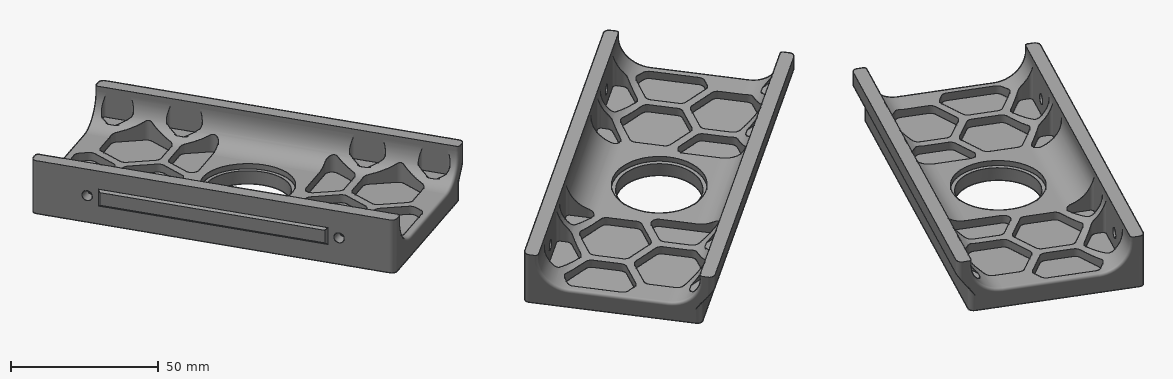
import cadquery as cq
import math

length = 132.0
width = 66.0
height = 20.0
wall = 5.0
floor_top = 7.0
channel_radius = 11.0
mouth_radius = 1.0
corner_radius = 2.0

relief_depth = 4.2
relief_straight_top = 8.8
relief_slope_top = 14.7

hole_diameter = 29.6
rim_diameter = 32.5
rim_depth = 2.0

hex_flats = 22.0
hex_gap = 2.9
hex_depth = 3.0
hex_corner_radius = 2.5
wall_corner_radius = 1.2
hex_rows = 4
hex_columns = 2
hex_first_x = 20.7
hex_first_y = -29.7
field_inner_x = 19.4
field_outer_x = 63.1

rail_length = 83.2
rail_height = 6.3
rail_thickness = 0.8
rail_taper = 45
side_hole_diameter = 3.7
side_hole_x = 45.7
side_hole_depth = 6.6

half_length = length / 2
half_width = width / 2
channel_half = half_width - wall
mid_height = height / 2
hex_pitch = hex_flats + hex_gap
hex_row_pitch = hex_pitch * math.sqrt(3) / 2
hex_floor = floor_top - hex_depth
back_row_floor = relief_straight_top
tolerance = 0.001


def make_body():
    relief_y = half_width - relief_depth
    body = (
        cq.Workplane("YZ")
        .moveTo(-half_width, 0)
        .lineTo(relief_y, 0)
        .lineTo(relief_y, relief_straight_top)
        .lineTo(half_width, relief_slope_top)
        .lineTo(half_width, height)
        .lineTo(-half_width, height)
        .close()
        .extrude(half_length, both=True)
    )
    return body.edges("|Z").fillet(corner_radius)


def make_channel():
    bend = channel_radius * (1 - math.sqrt(0.5))
    bend_top = floor_top + channel_radius
    flat_half = channel_half - channel_radius
    return (
        cq.Workplane("YZ")
        .moveTo(-channel_half, height)
        .lineTo(-channel_half, bend_top)
        .threePointArc((-channel_half + bend, floor_top + bend), (-flat_half, floor_top))
        .lineTo(flat_half, floor_top)
        .threePointArc((channel_half - bend, floor_top + bend), (channel_half, bend_top))
        .lineTo(channel_half, height)
        .close()
        .extrude(half_length, both=True)
    )


def is_channel_mouth(edge):
    """True for the edges where the channel surface meets either end face."""
    spot = edge.Center()
    on_end = abs(abs(spot.x) - half_length) < tolerance
    in_channel = abs(spot.y) < channel_half + tolerance and spot.z > hex_floor
    return on_end and in_channel


def make_tray():
    tray = make_body().cut(make_channel())
    return tray.edges().filter(is_channel_mouth).fillet(mouth_radius)


def hex_outline(x, y):
    """Sharp pocket outline: a hexagon, or a hexagon cut short at the inner field limit."""
    hex_side = hex_flats / math.sqrt(3)
    if x - hex_flats / 2 > field_inner_x:
        return cq.Workplane("XY").center(x, y).transformed(rotate=(0, 0, 30)).polygon(6, 2 * hex_side)
    right = x + hex_flats / 2
    inner_half = hex_side / 2 + (right - field_inner_x) * math.tan(math.radians(30))
    return cq.Workplane("XY").polyline([
        (field_inner_x, y - inner_half),
        (right, y - hex_side / 2),
        (right, y + hex_side / 2),
        (field_inner_x, y + inner_half),
    ]).close()


def is_on_wall(edge):
    """True for a vertical edge in the plane of a channel side wall."""
    return abs(abs(edge.Center().y) - channel_half) < tolerance


def hex_pocket(x, y, pocket_floor):
    """Pocket kept between the channel walls and the outer field limit, with rounded corners."""
    depth = floor_top + channel_radius - pocket_floor
    field = cq.Workplane("XY").rect(2 * field_outer_x, 2 * channel_half).extrude(depth)
    pocket = hex_outline(x, y).extrude(depth).intersect(field)
    pocket = pocket.edges("|Z").filter(lambda edge: not is_on_wall(edge)).fillet(hex_corner_radius)
    wall_corners = pocket.edges("|Z").filter(is_on_wall)
    if wall_corners.size():
        pocket = wall_corners.fillet(wall_corner_radius)
    return pocket.translate((0, 0, pocket_floor))


def make_pockets():
    """Four staggered rows of pockets on the +X half, copied to the -X half."""
    pockets = cq.Workplane("XY")
    for row in range(hex_rows):
        y = hex_first_y + row * hex_row_pitch
        stagger = (row % 2) * hex_pitch / 2
        pocket_floor = back_row_floor if row == hex_rows - 1 else hex_floor
        for column in range(hex_columns):
            x = hex_first_x + stagger + column * hex_pitch
            pocket = hex_pocket(x, y, pocket_floor)
            pockets = pockets.union(pocket).union(pocket.mirror("YZ"))
    return pockets


def make_opening():
    bore = cq.Workplane("XY").circle(hole_diameter / 2).extrude(height)
    rim = (
        cq.Workplane("XY", origin=(0, 0, floor_top - rim_depth))
        .circle(rim_diameter / 2)
        .extrude(height)
    )
    return bore.union(rim)


def make_side_holes():
    """Pair of holes through the front wall into the pockets behind it."""
    return (
        cq.Workplane("XZ", origin=(0, -half_width, mid_height))
        .pushPoints([(-side_hole_x, 0), (side_hole_x, 0)])
        .circle(side_hole_diameter / 2)
        .extrude(-side_hole_depth)
    )


def make_rail():
    """Raised label rail with sloped sides on the front wall."""
    return (
        cq.Workplane("XZ", origin=(0, -half_width, mid_height))
        .rect(rail_length, rail_height)
        .extrude(rail_thickness, taper=rail_taper)
    )


result = (
    make_tray()
    .cut(make_pockets())
    .cut(make_opening())
    .cut(make_side_holes())
    .union(make_rail())
)